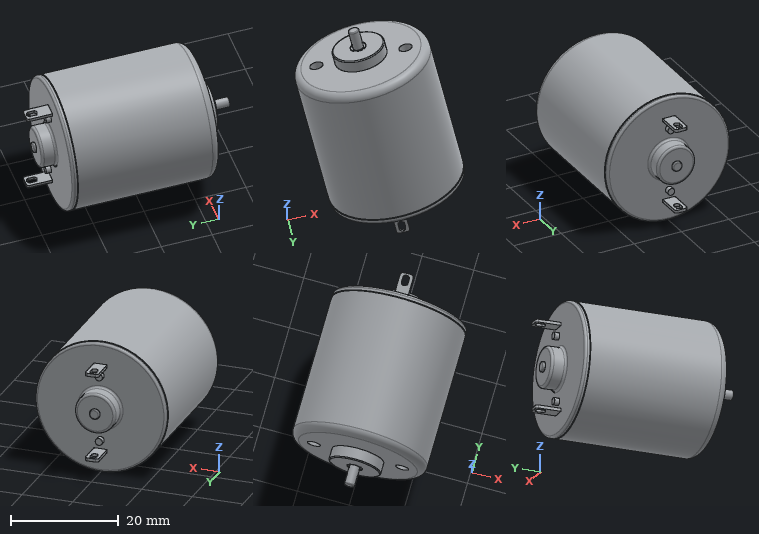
import cadquery as cq

can_diameter = 26.0
can_length = 29.0
can_front_radius = 1.5
cap_thickness = 1.0
cap_edge_radius = 0.5
seam_diameter = 25.8
seam_width = 0.1

front_boss_diameter = 10.0
front_boss_length = 2.3
front_boss_chamfer = 0.2
bearing_bore_diameter = 3.0
bearing_bore_depth = 0.2

rear_boss_diameter = 8.0
rear_boss_length = 3.0
rear_boss_edge_radius = 0.5
rear_boss_root_radius = 0.45

shaft_diameter = 2.0
shaft_edge_radius = 0.2
shaft_front_reach = 3.7
shaft_rear_reach = 0.5

mount_hole_diameter = 2.5
mount_hole_straight_depth = 2.0
mount_hole_cone_depth = 0.7
mount_hole_offset = 8.5

pin_diameter = 1.4
pin_length = 1.0
pin_offset = 6.5

terminal_width = 2.6
terminal_length = 5.0
terminal_thickness = 0.6
terminal_corner_radius = 0.5
terminal_offset = 8.55
slot_width = 1.2
slot_length = 2.0
slot_end_gap = 0.4
slot_arc_rise = 0.4

total_length = shaft_front_reach + front_boss_length + can_length + terminal_length
shaft_front_y = -total_length / 2
front_boss_y = shaft_front_y + shaft_front_reach
can_front_y = front_boss_y + front_boss_length
can_rear_y = can_front_y + can_length
rear_boss_y = can_rear_y + rear_boss_length
shaft_rear_y = rear_boss_y + shaft_rear_reach
terminal_end_y = can_rear_y + terminal_length


def cylinder(diameter, start_y, end_y, x=0, z=0):
    """Round bar parallel to Y between two stations."""
    plane = cq.Plane(origin=(x, start_y, z), xDir=(1, 0, 0), normal=(0, 1, 0))
    return cq.Workplane(plane).circle(diameter / 2).extrude(end_y - start_y)


def make_can():
    can = cylinder(can_diameter, can_front_y, can_rear_y)
    can = can.faces("<Y").edges().fillet(can_front_radius)
    can = can.faces(">Y").edges().fillet(cap_edge_radius)
    seam_end_y = can_rear_y - cap_thickness
    seam_start_y = seam_end_y - seam_width
    seam = cylinder(can_diameter, seam_start_y, seam_end_y)
    seam = seam.cut(cylinder(seam_diameter, seam_start_y, seam_end_y))
    return can.cut(seam)


def make_front_boss():
    boss = cylinder(front_boss_diameter, front_boss_y, can_front_y)
    boss = boss.faces("<Y").edges().chamfer(front_boss_chamfer)
    bore = cylinder(bearing_bore_diameter, front_boss_y, front_boss_y + bearing_bore_depth)
    return boss.cut(bore)


def make_rear_boss():
    """Bearing housing with a rounded rim and a concave root fillet."""
    boss = cylinder(rear_boss_diameter, can_rear_y, rear_boss_y)
    boss = boss.faces(">Y").edges().fillet(rear_boss_edge_radius)
    root_top_y = can_rear_y + rear_boss_root_radius
    cove_radius = rear_boss_diameter / 2 + rear_boss_root_radius
    root = cylinder(2 * cove_radius, can_rear_y, root_top_y)
    cove = cq.Solid.makeTorus(
        cove_radius, rear_boss_root_radius, cq.Vector(0, root_top_y, 0), cq.Vector(0, 1, 0)
    )
    return boss.union(root.cut(cq.Workplane(cove)))


def make_shaft():
    shaft = cylinder(shaft_diameter, shaft_front_y, shaft_rear_y)
    return shaft.faces("<Y or >Y").edges().fillet(shaft_edge_radius)


def make_mount_hole(x):
    """Drilled hole with a conical bottom."""
    cone_y = can_front_y + mount_hole_straight_depth
    cone = cq.Solid.makeCone(
        mount_hole_diameter / 2, 0, mount_hole_cone_depth, cq.Vector(x, cone_y, 0), cq.Vector(0, 1, 0)
    )
    return cylinder(mount_hole_diameter, can_front_y, cone_y, x=x).union(cq.Workplane(cone))


def make_terminal(z):
    """Flat tab with rounded tip corners and an arc-ended slot."""
    tab = (
        cq.Workplane("XY", origin=(0, can_rear_y + terminal_length / 2, z))
        .box(terminal_width, terminal_length, terminal_thickness)
        .edges("|Z and >Y")
        .fillet(terminal_corner_radius)
    )
    half_width = slot_width / 2
    slot_top = terminal_end_y - slot_end_gap
    slot_bottom = slot_top - slot_length
    slot = (
        cq.Workplane("XY", origin=(0, 0, z))
        .moveTo(-half_width, slot_bottom + slot_arc_rise)
        .threePointArc((0, slot_bottom), (half_width, slot_bottom + slot_arc_rise))
        .lineTo(half_width, slot_top - slot_arc_rise)
        .threePointArc((0, slot_top), (-half_width, slot_top - slot_arc_rise))
        .close()
        .extrude(terminal_thickness, both=True)
    )
    return tab.cut(slot)


result = make_can().union(make_front_boss()).union(make_rear_boss()).union(make_shaft())

for side in (-1, 1):
    result = result.cut(make_mount_hole(side * mount_hole_offset))
    result = result.union(cylinder(pin_diameter, can_rear_y, can_rear_y + pin_length, z=side * pin_offset))
    result = result.union(make_terminal(side * terminal_offset))